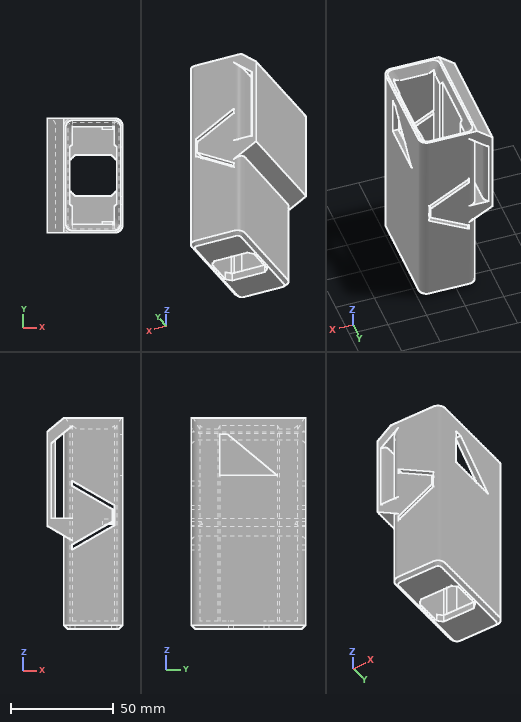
import cadquery as cq
import math

depth = 37.0
width = 56.0
height = 103.0

wall = 4.1
floor_thickness = wall
corner_radius = 4.1
foot_chamfer = 2.0
tube_front = 8.0
tube_depth = depth - tube_front
tube_middle = tube_front + tube_depth / 2
corner_end = tube_front + corner_radius
cavity_depth = tube_depth - 2 * wall
cavity_width = width - 2 * wall
cavity_height = height - floor_thickness

rim = 1.0
mouth_depth = 5.4
mouth_radius = 3.5

relief = 1.0
relief_half_width = 14.0
relief_depth = cavity_depth + 2 * relief

drain_width = 19.8
drain_chamfer = 2.5

slope = math.tan(math.radians(30))

strap_edge = 2.0
strap_bevel = 1.0
strap_thickness = 4.0
loop_top_drop = 6.7
loop_base = 50.3
channel_floor = 54.2
channel_top = 99.1
loop_top_slope = loop_top_drop / tube_front

tongue_tip = 31.9
tongue_tip_height = 6.0
tongue_middle = 55.5
slot_end = depth - corner_radius
slot_height = 2.4

catch_length = 4.9
catch_reach = 1.3
catch_bottom = 51.1
catch_height = 2.8

opening_top = 95.0
opening_bottom = 75.0
opening_top_width = 3.9


def prism_across(points):
    """Extrude an XZ outline over the whole width of the part."""
    return cq.Workplane("XZ").polyline(points).close().extrude(width / 2, both=True)


def upright_box(x_size, y_size, z_size):
    """Box standing on Z = 0, centred on the tube."""
    centre = (tube_middle, 0, 0)
    return cq.Workplane("XY", origin=centre).box(x_size, y_size, z_size, (True, True, False))


def tube_blank():
    blank = upright_box(tube_depth, width, height).edges("|Z").fillet(corner_radius)
    return blank.faces("<Z").chamfer(foot_chamfer)


def strap_pad():
    """Thicker middle of the strap: at each end a 45 degree bevel runs into a tangent arc."""
    bevel_angle = math.pi / 4
    bevel_x = strap_edge + strap_bevel
    radius = (strap_thickness - bevel_x) / (1 - math.cos(bevel_angle))
    strap_end = width / 2
    bevel_end = strap_end - strap_bevel
    arc_end = bevel_end - radius * math.sin(bevel_angle)
    arc_middle = arc_end + radius * math.sin(bevel_angle / 2)
    arc_middle_x = strap_thickness - radius * (1 - math.cos(bevel_angle / 2))
    return (
        cq.Workplane("XY")
        .moveTo(strap_edge, -strap_end)
        .lineTo(bevel_x, -bevel_end)
        .threePointArc((arc_middle_x, -arc_middle), (strap_thickness, -arc_end))
        .lineTo(strap_thickness, arc_end)
        .threePointArc((arc_middle_x, arc_middle), (bevel_x, bevel_end))
        .lineTo(strap_edge, strap_end)
        .close()
        .extrude(height)
    )


def belt_loop():
    """Block in front of the tube with a belt channel through it along Y."""
    block = prism_across(
        [
            (0, loop_base),
            (0, height - loop_top_drop),
            (tube_front, height),
            (corner_end, height),
            (corner_end, loop_base - corner_end * slope),
        ]
    )
    channel = prism_across(
        [
            (strap_edge, channel_floor),
            (corner_end, channel_floor),
            (corner_end, channel_top),
            (strap_edge, channel_top - (corner_end - strap_edge) * loop_top_slope),
        ]
    )
    return block.cut(channel.cut(strap_pad()))


def cavity():
    main = upright_box(cavity_depth, cavity_width, cavity_height)
    relief_width = 2 * (relief_half_width + relief)
    relief_box = upright_box(relief_depth, relief_width, cavity_height).edges("|Z").chamfer(relief)
    return main.union(relief_box).translate((0, 0, floor_thickness))


def mouth():
    """Flare whose corner radius stays the same from the cavity walls up to the rim."""
    growth = 2 * (wall - rim)
    lower = cq.Sketch().rect(cavity_depth, cavity_width).vertices().fillet(mouth_radius)
    upper = cq.Sketch().rect(cavity_depth + growth, cavity_width + growth).vertices().fillet(mouth_radius)
    raised_upper = upper.moved(cq.Location(cq.Vector(0, 0, mouth_depth)))
    base = (tube_middle, 0, height - mouth_depth)
    return cq.Workplane("XY", origin=base).placeSketch(lower, raised_upper).loft()


def drain():
    return upright_box(relief_depth, drain_width, floor_thickness).edges("|Z").chamfer(drain_chamfer)


def tapered_tab(end, half_end_height):
    """Prism across the width that narrows from the tongue root toward +X."""
    half_root_height = half_end_height + (end - corner_end) * slope
    return prism_across(
        [
            (corner_end, tongue_middle - half_root_height),
            (end, tongue_middle - half_end_height),
            (end, tongue_middle + half_end_height),
            (corner_end, tongue_middle + half_root_height),
        ]
    )


def tongue_slots():
    """Gap that frees both tongues on every side but the root."""
    tongue_half_tip = tongue_tip_height / 2
    slot_half_end = tongue_half_tip + slot_height - (slot_end - tongue_tip) * slope
    return tapered_tab(slot_end, slot_half_end).cut(tapered_tab(tongue_tip, tongue_half_tip))


def back_opening():
    return (
        cq.Workplane("YZ", origin=(tube_middle, 0, 0))
        .moveTo(-relief_half_width, opening_bottom)
        .lineTo(-relief_half_width, opening_top)
        .lineTo(-relief_half_width + opening_top_width, opening_top)
        .lineTo(relief_half_width, opening_bottom)
        .close()
        .extrude(tube_depth)
    )


def catch(side):
    """Wedge on one tongue (side is -1 or 1), flat below and sloping back to the wall above."""
    face = side * cavity_width / 2
    return (
        cq.Workplane("YZ", origin=(tongue_tip - catch_length, 0, 0))
        .moveTo(face, catch_bottom)
        .lineTo(face - side * catch_reach, catch_bottom)
        .lineTo(face, catch_bottom + catch_height)
        .close()
        .extrude(catch_length)
    )


result = tube_blank().union(belt_loop())
for void in (cavity(), mouth(), drain(), tongue_slots(), back_opening()):
    result = result.cut(void)
for side in (-1, 1):
    result = result.union(catch(side))